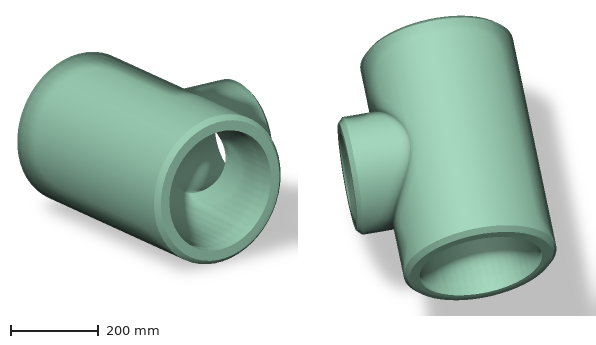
import cadquery as cq

run_length = 559.0
run_diameter = 355.5
run_bore = 285.0
branch_diameter = 272.5
branch_reach = 257.0
bevel = 11.0

wall = (run_diameter - run_bore) / 2
branch_bore = branch_diameter - 2 * wall


def run_cylinder(diameter):
    """Cylinder along X, centred on the origin."""
    return cq.Workplane("YZ").circle(diameter / 2).extrude(run_length / 2, both=True)


def branch_cylinder(diameter):
    """Cylinder from the run axis out to the branch end face at +Y."""
    return cq.Workplane("XZ").circle(diameter / 2).extrude(-branch_reach)


run = run_cylinder(run_diameter).faces("<X or >X").edges().chamfer(bevel)
branch = branch_cylinder(branch_diameter).faces(">Y").edges().chamfer(bevel)

body = run.union(branch)
result = body.cut(run_cylinder(run_bore)).cut(branch_cylinder(branch_bore))